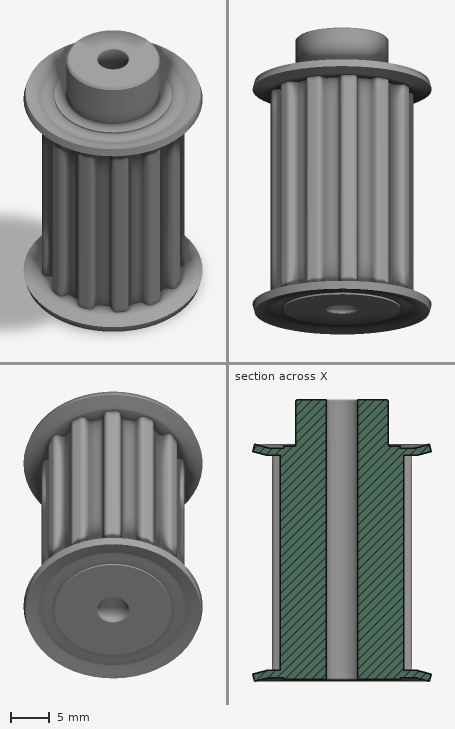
import math

import cadquery as cq

total_height = 36.25
rim_to_rim = 30.5
mid_height = rim_to_rim / 2

tooth_count = 12
tip_radius = 9.17
root_radius = 7.95
groove_floor_width = 1.78
flank_angle = 25.0
root_fillet = 0.4
tip_fillet = 0.6
groove_overshoot = 0.72

overall_width = 23.0
flange_radius = overall_width / 2
sheet_thickness = 1.0
dish_angle = 15.0
dish_radius = 9.42

collar_radius = 7.55
collar_rise = 0.2
hub_diameter = 12.0
hub_radius = hub_diameter / 2
hub_chamfer = 0.25
hub_foot = 0.1
bore_radius = 2.0
bore_chamfer = 0.1

dish_slope = math.tan(math.radians(dish_angle))
rim_radius = flange_radius - sheet_thickness * math.sin(math.radians(dish_angle))
rim_height = sheet_thickness * math.cos(math.radians(dish_angle))
flat_height = (rim_radius - dish_radius) * dish_slope
inner_height = flat_height + sheet_thickness
inner_dish_radius = flange_radius - (inner_height - rim_height) / dish_slope
collar_height = flat_height - collar_rise


def mirrored_to_top(lower):
    """Copy of a lower-end feature, mirrored about the middle of the belt body."""
    return lower.mirror("XY", (0, 0, mid_height))


def make_flange():
    """Lower flange: flat ring with its rim dished outwards, rim edge at Z = 0."""
    section = [
        (0, flat_height),
        (dish_radius, flat_height),
        (rim_radius, 0),
        (flange_radius, rim_height),
        (inner_dish_radius, inner_height),
        (0, inner_height),
    ]
    return cq.Workplane("XZ").polyline(section).close().revolve(360, (0, 0), (0, 1))


def make_collar():
    """Lower collar, slightly proud of the flat of the flange."""
    collar = cq.Workplane("XY").workplane(offset=collar_height)
    return collar.circle(collar_radius).extrude(inner_height - collar_height)


def make_groove(length):
    """One trapezoidal belt groove on the +X side, reaching beyond the tooth tips."""
    depth = tip_radius + groove_overshoot - root_radius
    half_floor = groove_floor_width / 2
    half_mouth = half_floor + depth * math.tan(math.radians(flank_angle))
    outline = [
        (root_radius, -half_floor),
        (root_radius + depth, -half_mouth),
        (root_radius + depth, half_mouth),
        (root_radius, half_floor),
    ]
    groove = cq.Workplane("XY").polyline(outline).close().extrude(length)
    return groove.edges("|Z and <X").fillet(root_fillet)


def make_belt_body():
    """Toothed cylinder between the two flanges, with rounded tooth tips."""
    length = rim_to_rim - 2 * inner_height
    body = cq.Workplane("XY").circle(tip_radius).extrude(length)
    groove = make_groove(length)
    for index in range(tooth_count):
        body = body.cut(groove.rotate((0, 0, 0), (0, 0, 1), index * 360 / tooth_count))
    tip_edges = body.edges("|Z").filter(is_on_tip_circle)
    return tip_edges.fillet(tip_fillet).translate((0, 0, inner_height))


def is_on_tip_circle(edge):
    """True for an upright edge at the outer corner of a tooth."""
    center = edge.Center()
    return math.isclose(math.hypot(center.x, center.y), tip_radius, abs_tol=0.0005)


def make_hub():
    """Plain hub on the upper collar, with a chamfered top and a sloped foot."""
    base = rim_to_rim - collar_height
    plane = cq.Workplane("XY").workplane(offset=base)
    hub = plane.circle(hub_radius).extrude(total_height - base)
    foot = plane.circle(hub_radius + hub_foot).extrude(hub_foot, taper=45)
    return hub.faces(">Z").chamfer(hub_chamfer).union(foot)


def make_bore():
    """Through bore with a small chamfer at each end."""
    length = total_height - collar_height
    bore = cq.Workplane("XY").workplane(offset=collar_height).circle(bore_radius).extrude(length)
    mouth = cq.Workplane("XY").circle(bore_radius + bore_chamfer).extrude(bore_chamfer, taper=45)
    lower_mouth = mouth.translate((0, 0, collar_height))
    upper_mouth = mouth.mirror("XY").translate((0, 0, total_height))
    return bore.union(lower_mouth).union(upper_mouth)


flange = make_flange()
collar = make_collar()

result = make_belt_body()
for end_feature in (flange, collar, mirrored_to_top(flange), mirrored_to_top(collar)):
    result = result.union(end_feature)
result = result.union(make_hub()).cut(make_bore())